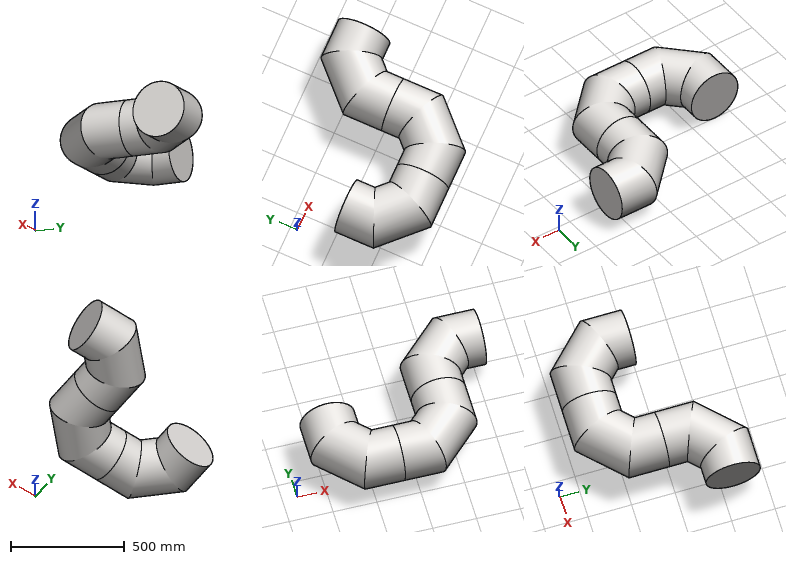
import cadquery as cq

DUCT_DIAMETER = 249.936
BEND_REACH = 254.0
LEG_LENGTH = 134.6


def mitred_elbow(start, first_heading, second_heading):
    """Three-piece 90 degree elbow lying in XY: two straight legs joined by a 45 degree middle piece.

    It begins at `start`, leaves along `first_heading` and ends along `second_heading`.
    """
    corner = start + first_heading * BEND_REACH
    end = corner + second_heading * BEND_REACH
    first_mitre = start + first_heading * LEG_LENGTH
    second_mitre = end - second_heading * LEG_LENGTH

    axis = cq.Workplane("XY").polyline([p.toTuple() for p in (start, first_mitre, second_mitre, end)])
    start_face = cq.Plane(origin=start, xDir=cq.Vector(0, 0, 1), normal=first_heading)
    return cq.Workplane(start_face).circle(DUCT_DIAMETER / 2).sweep(axis, transition="right")


def elbow_run(headings):
    """Chain elbows end to end, each one turning from one heading to the next."""
    elbows = []
    start = cq.Vector(0, 0, 0)
    for first_heading, second_heading in zip(headings, headings[1:]):
        elbows.append(mitred_elbow(start, first_heading, second_heading))
        start = start + (first_heading + second_heading) * BEND_REACH
    return elbows


PLUS_X = cq.Vector(1, 0, 0)
PLUS_Y = cq.Vector(0, 1, 0)

elbows = elbow_run([-PLUS_Y, PLUS_X, PLUS_Y, PLUS_X])

result = cq.Compound.makeCompound([elbow.val() for elbow in elbows])